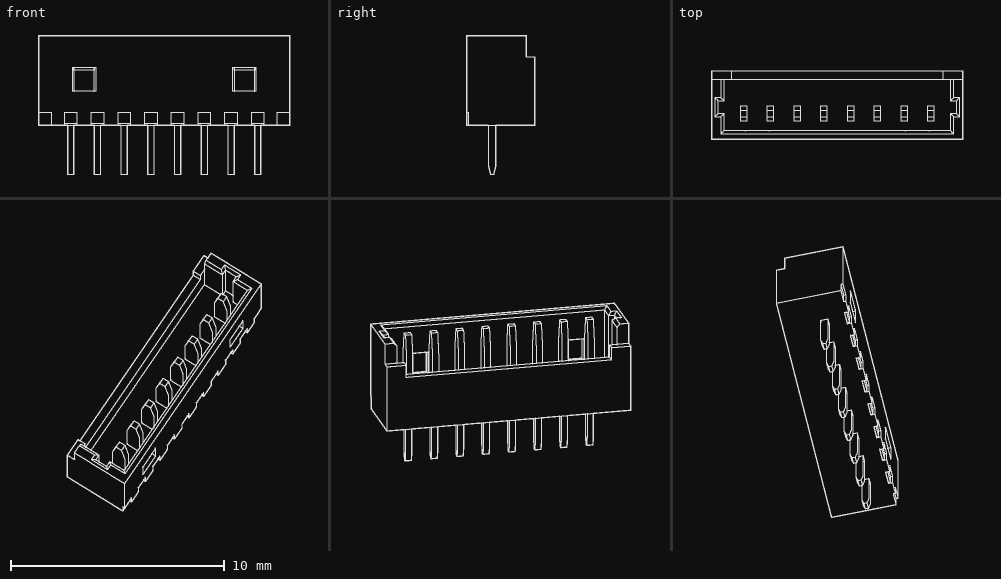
import cadquery as cq

pin_count = 8
pitch = 1.25
end_margin = 1.5
pin_to_front = 1.2

housing_depth = 3.2
housing_height = 4.2
housing_length = (pin_count - 1) * pitch + 2 * end_margin

front_wall = 0.4
rear_wall = 0.4
end_wall = 0.575
floor_thickness = 1.0
lead_in = 0.15

rear_shoulder_height = 3.2
rear_sill_height = 2.6
shoulder_length = 0.925

key_slot_wall = 0.3
key_slot_width = 0.6
key_slot_from_front = 1.2

window_width = 1.1
window_height = 1.1
window_bottom = 1.6

relief_width = 0.6
relief_height = 0.6
relief_depth = 0.1
undercut_height = 0.08
undercut_depth = 0.1

pin_width = 0.3
blade_depth = 0.7
blade_tip_depth = 0.3
blade_top = 4.0
blade_taper_start = 3.0
tail_depth = 0.35
tail_tip_depth = 0.15
tail_length = 2.3
tail_taper_length = 0.4

x_end = housing_length / 2
z_blade_root = floor_thickness / 2
y_front = -pin_to_front
y_rear = y_front + housing_depth
y_cavity_front = y_front + front_wall
y_cavity_rear = y_rear - rear_wall
pin_positions = [(i - (pin_count - 1) / 2) * pitch for i in range(pin_count)]


def box(x0, x1, y0, y1, z0, z1):
    """Axis-aligned box between two opposite corners."""
    return cq.Workplane("XY").box(x1 - x0, y1 - y0, z1 - z0, centered=False).translate((x0, y0, z0))


def flared_pocket(half_length, y0, y1):
    """Rectangular pocket from the floor to the rim, widening by the lead-in at the rim."""
    y_mid = (y0 + y1) / 2
    straight = box(-half_length, half_length, y0, y1, floor_thickness, housing_height)
    flare = (
        cq.Workplane("XY", origin=(0, y_mid, housing_height - lead_in))
        .rect(2 * half_length, y1 - y0)
        .workplane(offset=lead_in)
        .rect(2 * (half_length + lead_in), y1 - y0 + 2 * lead_in)
        .loft(ruled=True)
    )
    return straight.union(flare)


def make_shell():
    """Housing block with its stepped rear wall, open cavity and keying slots."""
    shell = box(-x_end, x_end, y_front, y_rear, 0, housing_height)
    shell = shell.cut(box(-x_end, x_end, y_cavity_rear, y_rear, rear_shoulder_height, housing_height))
    x_sill = x_end - shoulder_length
    shell = shell.cut(box(-x_sill, x_sill, y_cavity_rear, y_rear, rear_sill_height, housing_height))

    shell = shell.cut(flared_pocket(x_end - end_wall, y_cavity_front, y_cavity_rear))
    y_slot = y_front + key_slot_from_front
    return shell.cut(flared_pocket(x_end - key_slot_wall, y_slot, y_slot + key_slot_width))


def cut_windows(shell):
    """Latch windows through the front wall, each centred between the outermost two pins."""
    x_window = pin_positions[-1] - pitch / 2
    for x in (-x_window, x_window):
        shell = shell.cut(
            box(x - window_width / 2, x + window_width / 2, y_front, y_cavity_front,
                window_bottom, window_bottom + window_height)
        )
    return shell


def cut_reliefs(shell):
    """Shallow reliefs along the lower front edge: one at each corner and a stepped one at each pin."""
    y_relief = y_front + relief_depth
    half_width = relief_width / 2
    pin_relief = box(-half_width, half_width, y_front, y_relief, 0, relief_height)
    undercut = box(-half_width, half_width, y_front, y_relief + undercut_depth, 0, undercut_height)
    pin_relief = pin_relief.union(undercut)
    for x in pin_positions:
        shell = shell.cut(pin_relief.translate((x, 0, 0)))
    for x in (-x_end, x_end):
        shell = shell.cut(box(x - relief_width, x + relief_width, y_front, y_relief, 0, relief_height))
    return shell


def make_pin():
    """Flat pin: wide tapered contact blade above the floor, narrow pointed tail below."""
    half_profile = [
        (tail_tip_depth / 2, -tail_length),
        (tail_depth / 2, tail_taper_length - tail_length),
        (tail_depth / 2, z_blade_root),
        (blade_depth / 2, z_blade_root),
        (blade_depth / 2, blade_taper_start),
        (blade_tip_depth / 2, blade_top),
    ]
    mirrored = [(-y, z) for y, z in reversed(half_profile)]
    return cq.Workplane("YZ").polyline(half_profile + mirrored).close().extrude(pin_width / 2, both=True)


housing = cut_reliefs(cut_windows(make_shell()))
pin = make_pin()
result = housing
for x_pin in pin_positions:
    result = result.union(pin.translate((x_pin, 0, 0)))